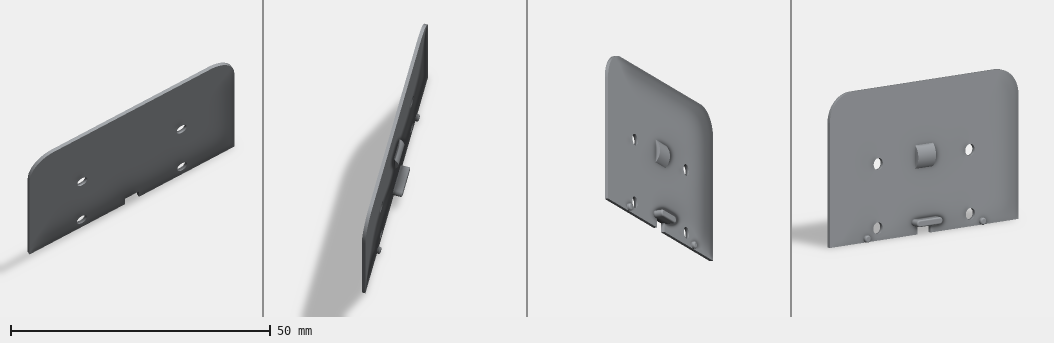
import cadquery as cq

WIDTH = 47.0
HEIGHT = 30.0
THICKNESS = 0.7
CORNER_RADIUS = 5.45

HOLE_DIAMETER = 2.3
UPPER_HOLE_Y = 11.4
UPPER_HOLE_Z = 15.05
LOWER_HOLE_Y = 11.5
LOWER_HOLE_Z = 2.45

TAB_LENGTH = 6.35
TAB_BOTTOM = 1.8
TAB_TOP = 3.15
TAB_HEIGHT = 1.9
TAB_TIP_RADIUS = 0.3

PIN_DIAMETER = 1.4
PIN_HEIGHT = 0.65
PIN_Y = 14.4
PIN_TIP_RADIUS = 0.3

BUMP_WIDTH = 4.4
BUMP_CHORD = 4.6
BUMP_HEIGHT = 0.95
BUMP_Z = 15.28

NOTCH_WIDTH = 3.25
NOTCH_HEIGHT = TAB_BOTTOM


def make_plate():
    """Flat plate with two rounded upper corners."""
    plate = cq.Workplane("XY").box(THICKNESS, WIDTH, HEIGHT, centered=(False, True, False))
    return plate.faces(">Z").edges("|X").fillet(CORNER_RADIUS)


def make_holes():
    """Cutters for the four screw holes."""
    centres = []
    for side in (-1, 1):
        centres.append((side * UPPER_HOLE_Y, UPPER_HOLE_Z))
        centres.append((side * LOWER_HOLE_Y, LOWER_HOLE_Z))
    return cq.Workplane("YZ").pushPoints(centres).circle(HOLE_DIAMETER / 2).extrude(THICKNESS)


def make_notch():
    """Cutter for the rectangular notch in the bottom edge."""
    return cq.Workplane("XY").box(THICKNESS, NOTCH_WIDTH, NOTCH_HEIGHT, centered=(False, True, False))


def make_tab():
    """Long tab with fully round ends and a rounded tip."""
    return (
        cq.Workplane("YZ")
        .center(0, (TAB_BOTTOM + TAB_TOP) / 2)
        .slot2D(TAB_LENGTH, TAB_TOP - TAB_BOTTOM)
        .extrude(-TAB_HEIGHT)
        .faces("<X")
        .fillet(TAB_TIP_RADIUS)
    )


def make_pins():
    """Two short pins, tangent to the bottom edge, with rounded tips."""
    return (
        cq.Workplane("YZ")
        .pushPoints([(-PIN_Y, PIN_DIAMETER / 2), (PIN_Y, PIN_DIAMETER / 2)])
        .circle(PIN_DIAMETER / 2)
        .extrude(-PIN_HEIGHT)
        .faces("<X")
        .fillet(PIN_TIP_RADIUS)
    )


def make_bump():
    """Circular-segment bump running along Y."""
    return (
        cq.Workplane("XZ")
        .moveTo(0, BUMP_Z - BUMP_CHORD / 2)
        .threePointArc((-BUMP_HEIGHT, BUMP_Z), (0, BUMP_Z + BUMP_CHORD / 2))
        .close()
        .extrude(BUMP_WIDTH / 2, both=True)
    )


plate = make_plate().cut(make_holes()).cut(make_notch())
result = plate.union(make_tab()).union(make_pins()).union(make_bump())